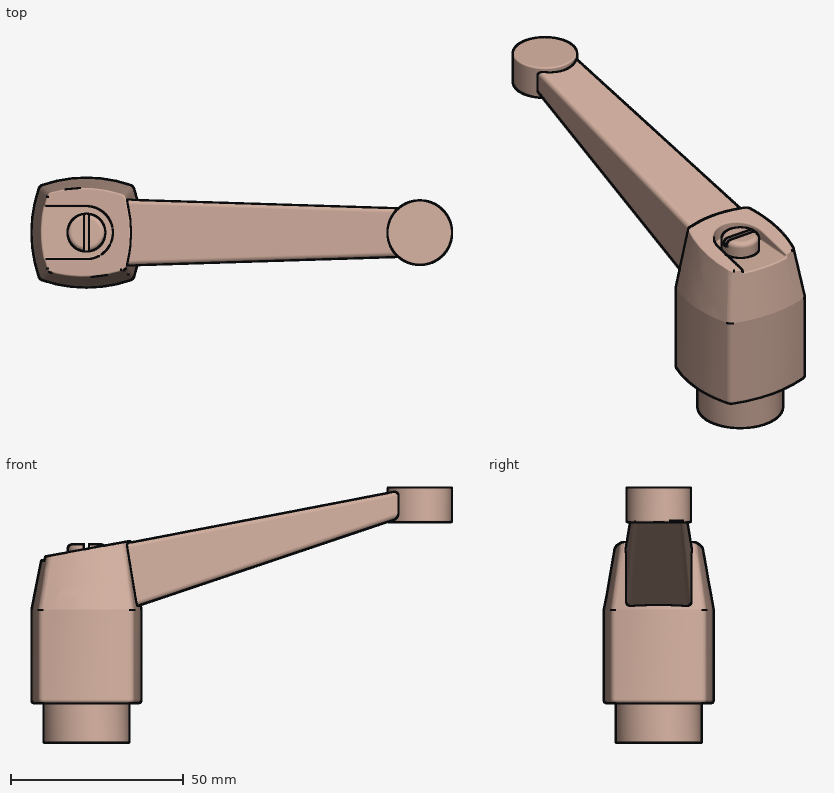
import cadquery as cq
import math


hub_width = 32.0
half_width = hub_width / 2
hub_side_radius = 39.0
hub_corner_fillet = 2.0
hub_bottom_fillet = 1.0
rim_fillet = 0.5
collar_diameter = 25.0
collar_height = 11.5
collar_fillet = 0.5
shoulder_z = 38.5
taper_angle = 10.0
hub_lean_angle = 1.2
hub_top_slope = 10.4
hub_top_z = 56.2

pocket_floor_z = 53.0
pocket_floor_diameter = 14.4
pocket_floor_fillet = 0.5

screw_diameter = 11.0
screw_top_z = 57.6
screw_fillet = 1.5
slot_width = 1.5
slot_depth = 1.8

overall_length = 122.0
overall_height = 74.0
knob_diameter = 18.8
knob_height = 10.1
knob_fillet = 0.5
knob_x = overall_length - half_width - knob_diameter / 2

arm_root_x = 9.8
arm_end_gap = 2.5
arm_end_x = knob_x - arm_end_gap
arm_top_slope = 10.9
arm_top_z = 55.6
arm_bottom_slope = 18.6
arm_bottom_z = 34.6
arm_axis_width = 19.9
arm_side_angle = 1.8
arm_fillet = 1.5


def rise(angle, distance):
    """Offset reached over a distance by a line at an angle in degrees."""
    return distance * math.tan(math.radians(angle))


def hub_outline(workplane, inset=0.0):
    """Square outline with four bulging arc sides, moved inwards by an inset."""
    middle = half_width - inset
    radius = hub_side_radius - inset
    centre_offset = hub_side_radius - half_width
    corner = (math.sqrt(2 * radius**2 - centre_offset**2) - centre_offset) / 2
    return (
        workplane.moveTo(-corner, -corner)
        .threePointArc((0, -middle), (corner, -corner))
        .threePointArc((middle, 0), (corner, corner))
        .threePointArc((0, middle), (-corner, corner))
        .threePointArc((-middle, 0), (-corner, -corner))
        .close()
    )


def make_hub():
    base = cq.Workplane("XY", origin=(0, 0, collar_height))
    lower = hub_outline(base).extrude(shoulder_z - collar_height)
    lower = lower.edges("|Z").fillet(hub_corner_fillet)
    lower = lower.faces("<Z").edges().fillet(hub_bottom_fillet)

    upper_height = overall_height - shoulder_z
    shoulder = hub_outline(cq.Workplane("XY", origin=(0, 0, shoulder_z)))
    tip = shoulder.workplane(offset=upper_height).center(rise(hub_lean_angle, upper_height), 0)
    upper = hub_outline(tip, rise(taper_angle, upper_height)).loft(ruled=True)
    upper = upper.edges("not(<Z or >Z)").fillet(hub_corner_fillet)
    above_top = (
        cq.Workplane("XY")
        .box(2 * hub_width, 2 * hub_width, hub_width, centered=(True, True, False))
        .rotate((0, 0, 0), (0, 1, 0), -hub_top_slope)
        .translate((0, 0, hub_top_z))
    )
    upper = upper.cut(above_top).cut(make_pocket())
    mouth = cq.selectors.BoxSelector(
        (-half_width, -pocket_floor_diameter, pocket_floor_z - rim_fillet),
        (-pocket_floor_diameter / 2, pocket_floor_diameter, hub_top_z),
    )
    rim = upper.faces(">Z").edges().add(upper.edges(mouth).edges("not(|X)"))
    upper = rim.fillet(rim_fillet)

    collar = cq.Workplane("XY").circle(collar_diameter / 2).extrude(shoulder_z)
    collar = collar.faces("<Z").edges().fillet(collar_fillet)
    return lower.union(upper).union(collar)


def make_pocket():
    width = pocket_floor_diameter + 2 * pocket_floor_fillet
    depth = overall_height - pocket_floor_z
    floor = cq.Workplane("XY", origin=(0, 0, pocket_floor_z))
    round_end = floor.circle(width / 2).extrude(depth)
    channel = floor.center(-half_width, 0).rect(hub_width, width).extrude(depth)
    pocket = round_end.union(channel)
    return pocket.faces("<Z").edges("not(<X)").fillet(pocket_floor_fillet)


def make_screw():
    screw = (
        cq.Workplane("XY", origin=(0, 0, shoulder_z))
        .circle(screw_diameter / 2)
        .extrude(screw_top_z - shoulder_z)
    )
    screw = screw.faces(">Z").edges().fillet(screw_fillet)
    slot = (
        cq.Workplane("XY", origin=(0, 0, screw_top_z - slot_depth))
        .rect(slot_width, screw_diameter)
        .extrude(slot_depth)
    )
    return screw.cut(slot)


def make_arm():
    side_profile = [
        (arm_root_x, arm_bottom_z + rise(arm_bottom_slope, arm_root_x)),
        (arm_end_x, arm_bottom_z + rise(arm_bottom_slope, arm_end_x)),
        (arm_end_x, arm_top_z + rise(arm_top_slope, arm_end_x)),
        (arm_root_x, arm_top_z + rise(arm_top_slope, arm_root_x)),
    ]
    root_half = arm_axis_width / 2 - rise(arm_side_angle, arm_root_x)
    end_half = arm_axis_width / 2 - rise(arm_side_angle, arm_end_x)
    plan_profile = [
        (arm_root_x, -root_half),
        (arm_end_x, -end_half),
        (arm_end_x, end_half),
        (arm_root_x, root_half),
    ]
    side = cq.Workplane("XZ").polyline(side_profile).close().extrude(arm_axis_width / 2, both=True)
    plan = cq.Workplane("XY").polyline(plan_profile).close().extrude(overall_height)
    return side.intersect(plan).edges("not(<X or >X)").fillet(arm_fillet)


def make_knob():
    knob = (
        cq.Workplane("XY", origin=(knob_x, 0, overall_height - knob_height))
        .circle(knob_diameter / 2)
        .extrude(knob_height)
    )
    return knob.faces("<Z or >Z").edges().fillet(knob_fillet)


hub = make_hub().union(make_screw())
result = hub.union(make_arm()).union(make_knob())